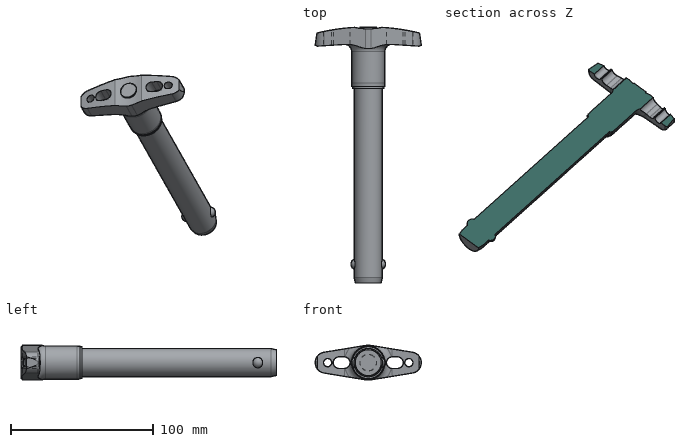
import cadquery as cq
import math


shank_diameter = 20.0
shank_length = 137.0
tip_diameter = 18.2
tip_taper_length = 3.9

ball_diameter = 7.5
span_over_balls = 24.6
ball_to_tip = 13.3

sleeve_diameter = 23.5
shoulder_diameter = 22.5
shoulder_length = 1.5
sleeve_end_band = 2.2
sleeve_end_taper = 0.1

handle_length = 74.8
handle_width = 24.66
centre_radius = handle_width / 2
end_radius = 7.5
end_centre = handle_length / 2 - end_radius

handle_top = 43.1
crown_radius = 153.0
dip_half_width = 9.8
dip_depth = 1.2
underside_inner = handle_top - 12.2
underside_outer = handle_top - 13.4
end_taper_start = handle_top - 12.2
end_taper_inset = 1.2
end_bevel_length = 1.65
end_bevel_height = 0.7
cove_radius = 5.0

small_hole_diameter = 5.6
small_hole_x = 28.6
slot_width = 8.0
slot_inner_end = 12.9
slot_outer_end = 24.6
button_diameter = 11.6


def handle_outline():
    """Tangent outline around the three circles, in the XZ plane."""
    sine = (centre_radius - end_radius) / end_centre
    cosine = math.sqrt(1 - sine**2)
    centre_x, centre_z = centre_radius * sine, centre_radius * cosine
    end_x, end_z = end_centre + end_radius * sine, end_radius * cosine
    half_length = handle_length / 2
    return (
        cq.Workplane("XZ")
        .moveTo(-centre_x, centre_z)
        .threePointArc((0, centre_radius), (centre_x, centre_z))
        .lineTo(end_x, end_z)
        .threePointArc((half_length, 0), (end_x, -end_z))
        .lineTo(centre_x, -centre_z)
        .threePointArc((0, -centre_radius), (-centre_x, -centre_z))
        .lineTo(-end_x, -end_z)
        .threePointArc((-half_length, 0), (-end_x, end_z))
        .close()
        .extrude(-handle_top)
    )


def crown_height(x):
    """Y of the crown arc at a distance x from the pin axis; it meets the handle top at the dip edges."""
    arc_centre_y = handle_top - math.sqrt(crown_radius**2 - dip_half_width**2)
    return arc_centre_y + math.sqrt(crown_radius**2 - x**2)


def handle_bar():
    """Side profile of the bar: crowned top with a central dip, tapered ends, bevelled sloping underside."""
    half_length = handle_length / 2
    bevel_x = half_length - end_bevel_length
    cove_rim = sleeve_diameter / 2 + cove_radius
    top_x = half_length - end_taper_inset
    crown_middle_x = (top_x + dip_half_width) / 2
    crown_end = (top_x, crown_height(top_x))
    return (
        cq.Workplane("XY")
        .moveTo(0, underside_inner)
        .lineTo(cove_rim, underside_inner)
        .lineTo(bevel_x, underside_outer)
        .lineTo(half_length, underside_outer + end_bevel_height)
        .lineTo(half_length, end_taper_start)
        .lineTo(*crown_end)
        .threePointArc((crown_middle_x, crown_height(crown_middle_x)), (dip_half_width, handle_top))
        .threePointArc((0, handle_top - dip_depth), (-dip_half_width, handle_top))
        .threePointArc((-crown_middle_x, crown_height(crown_middle_x)), (-top_x, crown_end[1]))
        .lineTo(-half_length, end_taper_start)
        .lineTo(-half_length, underside_outer + end_bevel_height)
        .lineTo(-bevel_x, underside_outer)
        .lineTo(-cove_rim, underside_inner)
        .close()
        .extrude(centre_radius, both=True)
    )


def handle_cove():
    """Concave blend of the underside into the sleeve, a solid of revolution about the pin axis."""
    sleeve_radius = sleeve_diameter / 2
    bottom = underside_inner - cove_radius
    mid_offset = cove_radius * (1 - math.sqrt(0.5))
    return (
        cq.Workplane("XY")
        .moveTo(0, bottom)
        .lineTo(sleeve_radius, bottom)
        .threePointArc(
            (sleeve_radius + mid_offset, underside_inner - mid_offset),
            (sleeve_radius + cove_radius, underside_inner),
        )
        .lineTo(0, underside_inner)
        .close()
        .revolve(360, (0, 0, 0), (0, 1, 0))
    )


def shank_and_sleeve():
    """Turned profile of the shank, shoulder and sleeve."""
    tip_y = -shank_length
    sleeve_radius = sleeve_diameter / 2
    sleeve_end_y = shoulder_length
    return (
        cq.Workplane("XY")
        .moveTo(0, tip_y)
        .lineTo(tip_diameter / 2, tip_y)
        .lineTo(shank_diameter / 2, tip_y + tip_taper_length)
        .lineTo(shank_diameter / 2, 0)
        .lineTo(shoulder_diameter / 2, 0)
        .lineTo(shoulder_diameter / 2, sleeve_end_y)
        .lineTo(sleeve_radius - sleeve_end_taper, sleeve_end_y)
        .lineTo(sleeve_radius, sleeve_end_y + sleeve_end_band)
        .lineTo(sleeve_radius, underside_inner)
        .lineTo(0, underside_inner)
        .close()
        .revolve(360, (0, 0, 0), (0, 1, 0))
    )


def handle_openings():
    """Through cutters along Y: one round hole and one slot on each side."""
    slot_length = slot_outer_end - slot_inner_end
    slot_x = (slot_outer_end + slot_inner_end) / 2
    holes = cq.Workplane("XZ").pushPoints([(-small_hole_x, 0), (small_hole_x, 0)])
    slots = cq.Workplane("XZ").pushPoints([(-slot_x, 0), (slot_x, 0)])
    hole_cutters = holes.circle(small_hole_diameter / 2).extrude(-handle_top)
    return hole_cutters.union(slots.slot2D(slot_length, slot_width).extrude(-handle_top))


def release_button():
    """Round button standing in the dip, level with the handle top."""
    return (
        cq.Workplane("XZ", origin=(0, underside_inner, 0))
        .circle(button_diameter / 2)
        .extrude(underside_inner - handle_top)
    )


def locking_balls():
    """Two balls standing out of the shank on opposite sides along X."""
    ball_x = (span_over_balls - ball_diameter) / 2
    ball_y = ball_to_tip - shank_length
    positions = [(-ball_x, ball_y), (ball_x, ball_y)]
    return cq.Workplane("XY").pushPoints(positions).sphere(ball_diameter / 2)


handle = handle_bar().union(handle_cove()).intersect(handle_outline()).cut(handle_openings())
result = (
    shank_and_sleeve()
    .union(handle)
    .union(release_button())
    .union(locking_balls())
)